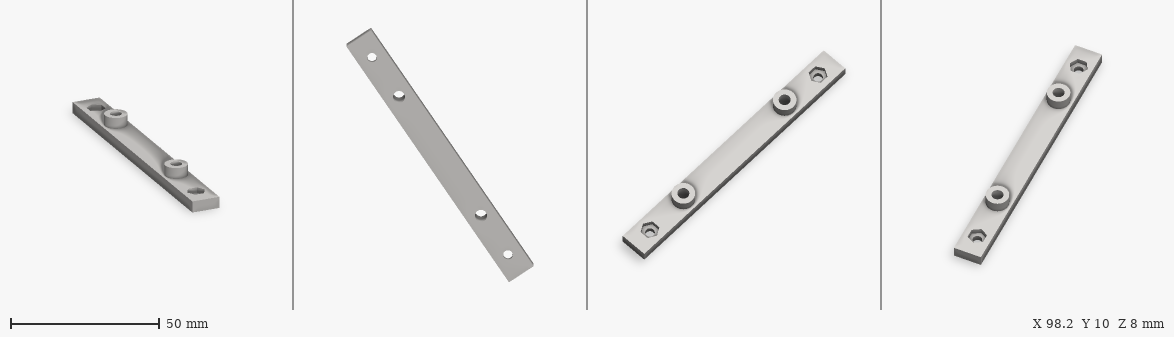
import cadquery as cq
import math

length = 98.25
width = 10.0
bar_height = 4.0
total_height = 8.0

boss_diameter = 8.0
boss_height = total_height - bar_height
boss_hole_diameter = 4.0
boss_offset = 24.8

screw_hole_diameter = 3.2
screw_offset = 41.1
nut_across_flats = 5.7
nut_pocket_depth = 2.0
nut_across_corners = nut_across_flats / math.cos(math.radians(30))


def boss(x):
    """Cylinder standing on the bar."""
    return cq.Workplane("XY", origin=(x, 0, bar_height)).circle(boss_diameter / 2).extrude(boss_height)


def through_hole(x, diameter):
    """Cutter for a vertical hole through the bar and anything on it."""
    return cq.Workplane("XY", origin=(x, 0, 0)).circle(diameter / 2).extrude(total_height)


def nut_pocket(x, rotation):
    """Cutter for a hexagonal pocket; at zero rotation two corners lie along X."""
    return (
        cq.Workplane("XY")
        .polygon(6, nut_across_corners)
        .extrude(nut_pocket_depth)
        .rotate((0, 0, 0), (0, 0, 1), rotation)
        .translate((x, 0, bar_height - nut_pocket_depth))
    )


result = cq.Workplane("XY").box(length, width, bar_height, centered=(True, True, False))

for boss_x in (-boss_offset, boss_offset):
    result = result.union(boss(boss_x))
    result = result.cut(through_hole(boss_x, boss_hole_diameter))

for screw_x, pocket_rotation in ((-screw_offset, 0), (screw_offset, 30)):
    result = result.cut(through_hole(screw_x, screw_hole_diameter))
    result = result.cut(nut_pocket(screw_x, pocket_rotation))